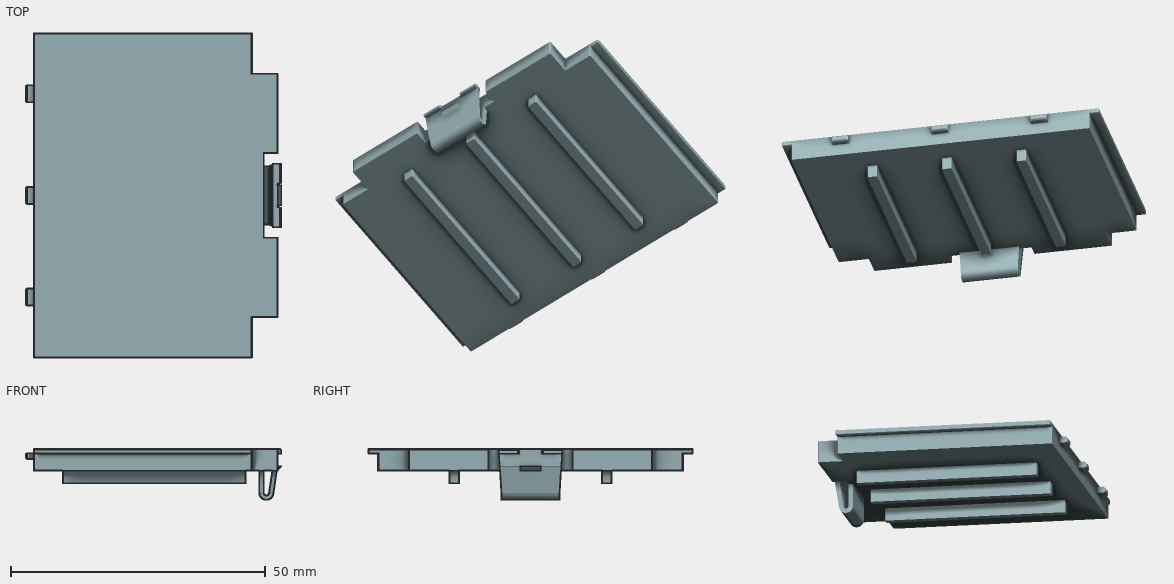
import cadquery as cq
import math

flange_width = 63.8
flange_thickness = 0.95
body_width = 60.0
body_depth = 4.3
shoulder_x = 42.95
front_x = 48.0
front_width = 47.85
notch_x = 45.25
notch_width = 16.6
edge_break = 0.1

tab_length = 1.5
tab_width = 3.4
tab_top = -0.8
tab_thickness = 1.15
tab_chamfer = 0.25
tab_pitch = 20.0

rib_start_x = 5.75
rib_end_x = 41.7
rib_width = 2.0
rib_height = 2.5
rib_pitch = 15.0

overall_depth = 10.0
latch_tip_x = 48.7
strip_thickness = 0.9
bend_inner_radius = 0.5
lean_angle = math.radians(8.5)
latch_top_width = 12.5
latch_bend_width = 11.5
hook_thickness = 0.95
hook_chamfer = 0.25
hook_gap_width = 4.4
hook_gap_flare = 0.3
barb_top = -3.4
barb_width = 3.95

bend_outer_radius = bend_inner_radius + strip_thickness
bend_x = notch_x + bend_inner_radius
bend_z = bend_outer_radius - overall_depth


def block(x_min, x_max, width, z_min, z_max, y_center=0.0):
    """Box between the given X and Z limits, centred across Y."""
    size_x = x_max - x_min
    size_z = z_max - z_min
    center = ((x_min + x_max) / 2, y_center, (z_min + z_max) / 2)
    return cq.Workplane("XY").box(size_x, width, size_z).translate(center)


def extrude_profile(profile, width):
    """Extrude an XZ profile symmetrically about Y = 0."""
    return profile.close().extrude(width / 2, both=True)


def make_cover():
    overlap_z = -flange_thickness / 2
    flange = block(0, shoulder_x, flange_width, -flange_thickness, 0).edges().chamfer(edge_break)
    body = block(0, shoulder_x, body_width, -body_depth, overlap_z).edges("|Z").chamfer(edge_break)
    front = block(shoulder_x / 2, front_x, front_width, -body_depth, 0)
    front = front.edges(">X and (not <Z)").chamfer(edge_break)
    notch = block(notch_x, front_x, notch_width, -body_depth, 0)
    return flange.union(body).union(front).cut(notch)


def make_tab(y_center):
    tab = block(-tab_length, 0, tab_width, tab_top - tab_thickness, tab_top, y_center)
    return tab.edges("<X").chamfer(tab_chamfer)


def make_rib(y_center):
    rib = block(rib_start_x, rib_end_x, rib_width, -body_depth - rib_height, -body_depth, y_center)
    return rib.edges("|Z").chamfer(edge_break)


def bend_point(radius, angle):
    """Point on the bend, with the angle measured from +X towards +Z."""
    return (bend_x + radius * math.cos(angle), bend_z + radius * math.sin(angle))


def make_latch():
    inner_end = bend_point(bend_inner_radius, -lean_angle)
    outer_end = bend_point(bend_outer_radius, -lean_angle)
    bend_middle = -(math.pi + lean_angle) / 2
    upright_inner_x = inner_end[0] + (barb_top - inner_end[1]) * math.tan(lean_angle)
    upright_outer_x = outer_end[0] + (barb_top - outer_end[1]) * math.tan(lean_angle)

    strip = extrude_profile(
        cq.Workplane("XZ")
        .moveTo(bend_x - bend_outer_radius, -body_depth)
        .lineTo(bend_x - bend_outer_radius, bend_z)
        .threePointArc(bend_point(bend_outer_radius, bend_middle), outer_end)
        .lineTo(upright_outer_x, barb_top)
        .lineTo(upright_outer_x, 0)
        .lineTo(upright_inner_x, 0)
        .lineTo(upright_inner_x, barb_top)
        .lineTo(*inner_end)
        .threePointArc(bend_point(bend_inner_radius, bend_middle), (bend_x - bend_inner_radius, bend_z))
        .lineTo(bend_x - bend_inner_radius, -body_depth),
        latch_top_width,
    )

    hook = block(upright_inner_x, latch_tip_x, latch_top_width, -hook_thickness, 0)
    hook = hook.edges(">X and >Z").chamfer(hook_chamfer)
    hook_gap = (
        cq.Workplane("XY")
        .polyline([
            (upright_outer_x, -hook_gap_width / 2),
            (latch_tip_x, -hook_gap_width / 2 - hook_gap_flare),
            (latch_tip_x, hook_gap_width / 2 + hook_gap_flare),
            (upright_outer_x, hook_gap_width / 2),
        ])
        .close()
        .extrude(-hook_thickness)
    )

    barb_reach = latch_tip_x - upright_inner_x
    barb = extrude_profile(
        cq.Workplane("XZ")
        .moveTo(upright_inner_x, barb_top)
        .lineTo(latch_tip_x, barb_top)
        .lineTo(upright_inner_x, barb_top - barb_reach),
        barb_width,
    )

    envelope = (
        cq.Workplane("YZ")
        .polyline([
            (-latch_bend_width / 2, -overall_depth),
            (latch_bend_width / 2, -overall_depth),
            (latch_bend_width / 2, bend_z),
            (latch_top_width / 2, 0),
            (-latch_top_width / 2, 0),
            (-latch_bend_width / 2, bend_z),
        ])
        .close()
        .extrude(latch_tip_x)
    )
    return strip.union(hook.cut(hook_gap)).union(barb).intersect(envelope)


result = make_cover().union(make_latch())
for position in (-1, 0, 1):
    result = result.union(make_tab(position * tab_pitch))
    result = result.union(make_rib(position * rib_pitch))